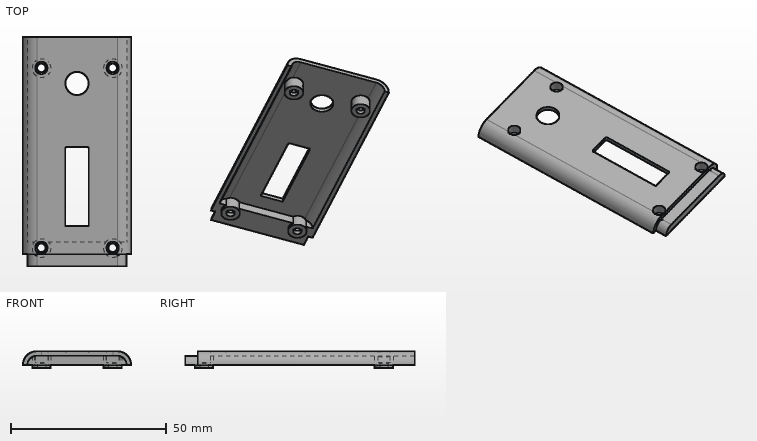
import cadquery as cq
import math

shell_width = 35.0
shell_length = 70.0
shell_height = 4.5
wall = 1.5

tongue_reach = 4.0
tongue_overlap = 4.0
cavity_width = shell_width - 2 * wall
cavity_height = shell_height - wall

boss_diameter = 6.0
boss_drop = 1.0
screw_diameter = 2.7
head_diameter = 4.0
head_seat_height = 1.0
head_seat_angle = 118.0
head_seat_step = (head_diameter - screw_diameter) / 2
head_seat_depth = head_seat_step / math.tan(math.radians(head_seat_angle / 2))
screw_half_spacing = 11.5
front_screw_y = head_diameter / 2
screw_row_spacing = 58.0
screw_points = [
    (side * screw_half_spacing, y)
    for side in (-1, 1)
    for y in (front_screw_y, front_screw_y + screw_row_spacing)
]

round_opening_diameter = 7.4
round_opening_y = 55.0
slot_width = 7.5
slot_length = 25.4
slot_front_y = 9.1
slot_corner_radius = 0.5


def rounded_bar(width, height, y_start, y_end):
    """Bar along Y with a flat base and quarter-round upper edges as tall as the bar."""
    half_width = width / 2
    half_flat = half_width - height
    return (
        cq.Workplane("XZ", origin=(0, y_start, 0))
        .moveTo(-half_width, 0)
        .lineTo(half_width, 0)
        .radiusArc((half_flat, height), -height)
        .lineTo(-half_flat, height)
        .radiusArc((-half_width, 0), -height)
        .close()
        .extrude(y_start - y_end)
    )


def cylinders(points, diameter, z_bottom, z_top):
    """Upright cylinders of one diameter at the given XY points."""
    return (
        cq.Workplane("XY", origin=(0, 0, z_bottom))
        .pushPoints(points)
        .circle(diameter / 2)
        .extrude(z_top - z_bottom)
    )


def make_shell():
    outer = rounded_bar(shell_width, shell_height, 0, shell_length)
    cavity = rounded_bar(cavity_width, cavity_height, 0, shell_length)
    return outer.cut(cavity)


def make_tongue():
    return rounded_bar(cavity_width, cavity_height, -tongue_reach, tongue_overlap)


def make_bosses():
    return cylinders(screw_points, boss_diameter, -boss_drop, cavity_height)


def make_screw_holes():
    """Through holes with a cylindrical head recess ending in a conical seat."""
    shanks = cylinders(screw_points, screw_diameter, -boss_drop, shell_height)
    heads = cylinders(screw_points, head_diameter, head_seat_height, shell_height)
    seats = (
        cq.Workplane("XY", origin=(0, 0, head_seat_height))
        .pushPoints(screw_points)
        .circle(head_diameter / 2)
        .extrude(-head_seat_depth, taper=head_seat_angle / 2)
    )
    return shanks.union(heads).union(seats)


def make_round_opening():
    return cylinders([(0, round_opening_y)], round_opening_diameter, 0, shell_height)


def make_slot():
    return (
        cq.Workplane("XY", origin=(0, slot_front_y + slot_length / 2, 0))
        .rect(slot_width, slot_length)
        .extrude(shell_height)
        .edges("|Z and >Y")
        .fillet(slot_corner_radius)
    )


result = (
    make_shell()
    .union(make_tongue())
    .union(make_bosses())
    .cut(make_screw_holes())
    .cut(make_round_opening())
    .cut(make_slot())
)